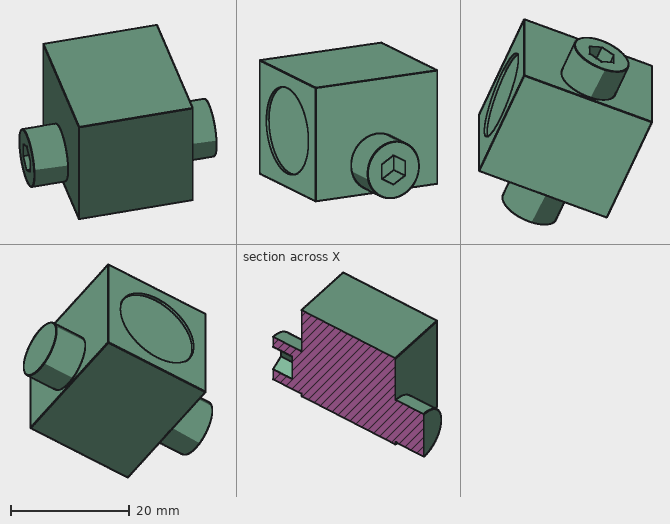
import cadquery as cq

block_length = 23.5
block_side = 20.0
block_chamfer = 0.1

recess_diameter = 15.0
recess_depth = 0.5

overall_width = 32.0
head_diameter = 9.95
head_edge_chamfer = 0.1
screw_drop = 4.5
socket_across_corners = 5.12
socket_depth = 4.0

half_width = overall_width / 2
head_length = (overall_width - block_side) / 2


def make_block():
    body = cq.Workplane("XY").box(block_length, block_side, block_side)
    return body.edges().chamfer(block_chamfer)


def make_recess():
    return (
        cq.Workplane("YZ", origin=(-block_length / 2, 0, 0))
        .circle(recess_diameter / 2)
        .extrude(recess_depth)
    )


def make_head(start):
    """Round head along Y from start, with both end edges chamfered."""
    return (
        cq.Workplane("XZ", origin=(0, start, -screw_drop))
        .circle(head_diameter / 2)
        .extrude(-head_length)
        .edges()
        .chamfer(head_edge_chamfer)
    )


def make_socket():
    return (
        cq.Workplane("XZ", origin=(0, -half_width, -screw_drop))
        .transformed(rotate=(0, 0, 90))
        .polygon(6, socket_across_corners)
        .extrude(-socket_depth)
    )


result = make_block()
for head_start in (-half_width, block_side / 2):
    result = result.union(make_head(head_start))
result = result.cut(make_recess()).cut(make_socket())